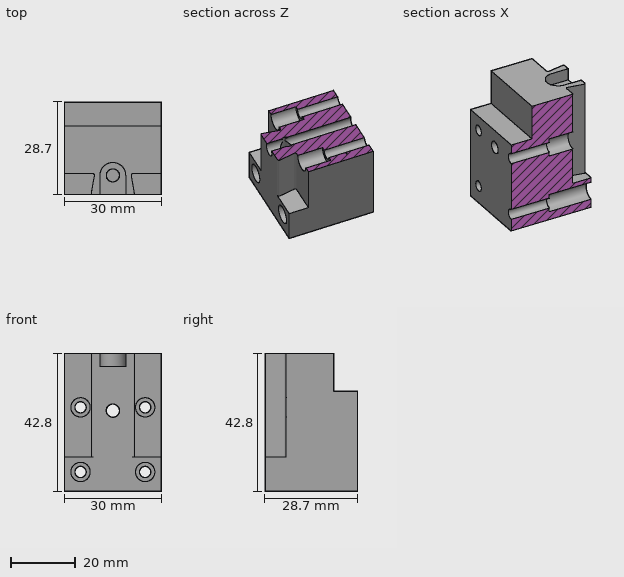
import cadquery as cq
import math

width = 30.0
depth = 28.7
height = 42.75

step_depth = 7.4
step_height = 11.7

channel_depth = 6.55
channel_floor_z = 10.75
rail_half_width = 6.75
dovetail_angle = 10.0
rail_fillet = 0.5

pocket_width = 8.0
pocket_depth = 4.0
pocket_center_y = 6.0

passage_diameter = 4.0
passage_z = 25.0
vertical_floor_z = passage_z - passage_diameter

hole_diameter = 3.4
counterbore_diameter = 6.0
counterbore_depth = 14.95
hole_spacing = 20.0
lowest_hole_z = 6.03


def make_block():
    block = cq.Workplane("XY").box(width, depth, height, centered=(True, False, False))
    step = (
        cq.Workplane("XY", origin=(0, depth - step_depth, height - step_height))
        .box(width, step_depth, step_height, centered=(True, False, False))
    )
    return block.cut(step)


def make_channel(side):
    """Cut beside the rail; side is -1 or +1 along X."""
    neck_half_width = rail_half_width - channel_depth * math.tan(math.radians(dovetail_angle))
    channel = (
        cq.Workplane("XY", origin=(0, 0, channel_floor_z))
        .moveTo(side * width / 2, 0)
        .lineTo(side * rail_half_width, 0)
        .lineTo(side * neck_half_width, channel_depth)
        .lineTo(side * width / 2, channel_depth)
        .close()
        .extrude(height - channel_floor_z)
    )
    return channel


def round_rail(body):
    """Round the outer edges and the root corners of the rail."""
    rail_zone = cq.selectors.BoxSelector(
        (-rail_half_width - rail_fillet, -rail_fillet, channel_floor_z),
        (rail_half_width + rail_fillet, channel_depth + rail_fillet, height),
    )
    return body.edges("|Z").edges(rail_zone).fillet(rail_fillet)


def make_pocket():
    pocket_floor = cq.Workplane("XY", origin=(0, 0, height - pocket_depth))
    straight = pocket_floor.rect(pocket_width, 2 * pocket_center_y).extrude(pocket_depth)
    round_end = pocket_floor.center(0, pocket_center_y).circle(pocket_width / 2).extrude(pocket_depth)
    return straight.union(round_end)


def make_bore(x, z, diameter, length):
    """Cylinder running from the front face toward the rear."""
    return cq.Workplane("XZ", origin=(x, 0, z)).circle(diameter / 2).extrude(-length)


def make_passages():
    vertical = (
        cq.Workplane("XY", origin=(0, pocket_center_y, vertical_floor_z))
        .circle(passage_diameter / 2)
        .extrude(height - vertical_floor_z)
    )
    return vertical.union(make_bore(0, passage_z, passage_diameter, depth))


body = make_block()
for side in (-1, 1):
    body = body.cut(make_channel(side))
body = round_rail(body)
body = body.cut(make_pocket()).cut(make_passages())

for x in (-hole_spacing / 2, hole_spacing / 2):
    for z in (lowest_hole_z, lowest_hole_z + hole_spacing):
        body = body.cut(make_bore(x, z, hole_diameter, depth))
        body = body.cut(make_bore(x, z, counterbore_diameter, counterbore_depth))

result = body